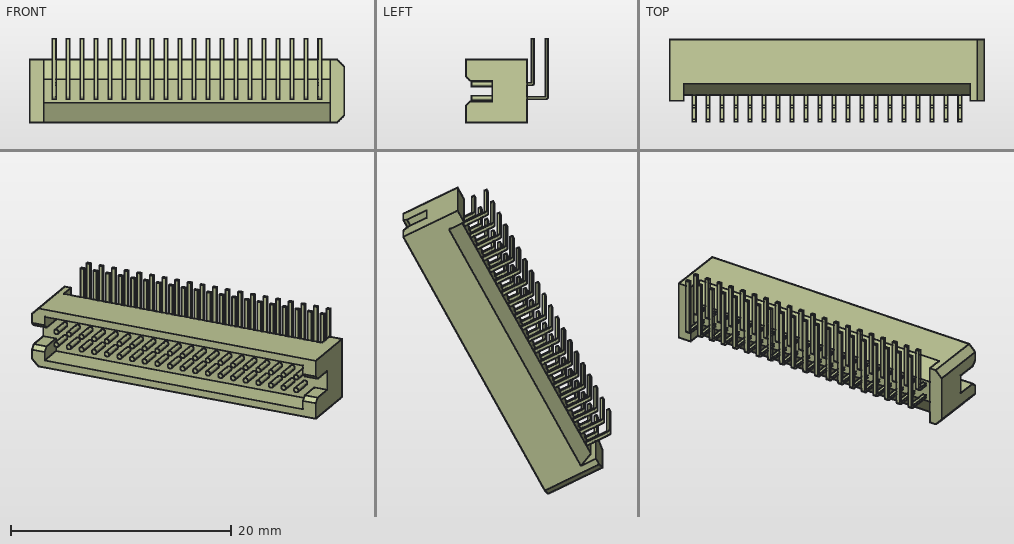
import cadquery as cq
import math


LENGTH = 28.57
DEPTH = 5.57
HEIGHT = 5.75
MID_Z = HEIGHT / 2
CAP_WIDTH = 1.29
INNER_LENGTH = LENGTH - 2 * CAP_WIDTH

END_CHAMFER = 0.65

SLOT_HEIGHT = 1.85
SLOT_DEPTH = 2.4
SLOT_LEAD_IN = 0.4
CAVITY_WALL = 0.7

BAND_HEIGHT = 2.1
BAND_DEPTH = 5.05
SLOPE_START_DEPTH = 4.03

CONTACTS_PER_ROW = 20
ROW_SPAN = 24.15
PITCH = ROW_SPAN / (CONTACTS_PER_ROW - 1)
ROW_OFFSET = PITCH / 2
PIN_DIAMETER = 0.45
PIN_TIP_DEPTH = 0.5
TAIL_WIDTH = 0.35
TAIL_THICKNESS = 0.25
TAIL_TOP = 7.63
OUTER_TAIL_BACK = 7.49
INNER_TAIL_BACK = OUTER_TAIL_BACK - PITCH

BAR_FRONT_DEPTH = 3.15
BAR_BACK_DEPTH = 4.29
BAR_LENGTH = ROW_SPAN + PIN_DIAMETER
BAR_HEIGHT = PITCH + PIN_DIAMETER


def block(length, front_depth, back_depth, bottom, top):
    """Box centred on X between two depths behind the mating face."""
    return cq.Workplane("XY").box(
        length, back_depth - front_depth, top - bottom
    ).translate((0, -(front_depth + back_depth) / 2, (bottom + top) / 2))


def extrude_along_x(points, length):
    """Extrude a (Y, Z) outline to both sides of the X = 0 plane."""
    outline = cq.Workplane("YZ").polyline(points).close()
    return outline.extrude(length / 2, both=True)


def housing_envelope():
    """Outer block with the two +X end edges chamfered."""
    right = LENGTH / 2
    outline = [
        (-right, 0),
        (right - END_CHAMFER, 0),
        (right, END_CHAMFER),
        (right, HEIGHT - END_CHAMFER),
        (right - END_CHAMFER, HEIGHT),
        (-right, HEIGHT),
    ]
    return cq.Workplane("XZ").polyline(outline).close().extrude(DEPTH)


def end_slot():
    """Slot along the whole length, flared at the mating face."""
    half = SLOT_HEIGHT / 2
    mouth_half = half + SLOT_LEAD_IN
    return extrude_along_x(
        [
            (0, MID_Z + mouth_half),
            (-SLOT_LEAD_IN, MID_Z + half),
            (-SLOT_DEPTH, MID_Z + half),
            (-SLOT_DEPTH, MID_Z - half),
            (-SLOT_LEAD_IN, MID_Z - half),
            (0, MID_Z - mouth_half),
        ],
        LENGTH,
    )


def rear_recess():
    """Space behind the band and its slopes, between the end caps."""
    half = BAND_HEIGHT / 2
    return extrude_along_x(
        [
            (-DEPTH, 0),
            (-SLOPE_START_DEPTH, 0),
            (-BAND_DEPTH, MID_Z - half),
            (-BAND_DEPTH, MID_Z + half),
            (-SLOPE_START_DEPTH, HEIGHT),
            (-DEPTH, HEIGHT),
        ],
        INNER_LENGTH,
    )


def contact(center_x, row_z, tail_back):
    """Round mating pin and its upturned flat tail, both starting in the bar."""
    pin = (
        cq.Workplane("XZ", origin=(center_x, -PIN_TIP_DEPTH, row_z))
        .circle(PIN_DIAMETER / 2)
        .extrude(BAR_FRONT_DEPTH - PIN_TIP_DEPTH)
    )
    bottom = row_z - TAIL_THICKNESS / 2
    tail_front = TAIL_THICKNESS - tail_back
    bend_top = bottom + TAIL_THICKNESS
    bend_arc = TAIL_THICKNESS * math.sqrt(0.5)
    tail = (
        cq.Workplane("YZ", origin=(center_x, 0, 0))
        .moveTo(-BAR_BACK_DEPTH, bottom)
        .lineTo(tail_front, bottom)
        .threePointArc((tail_front - bend_arc, bend_top - bend_arc), (-tail_back, bend_top))
        .lineTo(-tail_back, TAIL_TOP)
        .lineTo(tail_front, TAIL_TOP)
        .lineTo(tail_front, bend_top)
        .lineTo(-BAR_BACK_DEPTH, bend_top)
        .close()
        .extrude(TAIL_WIDTH / 2, both=True)
    )
    return [pin.val(), tail.val()]


def build_contact_set():
    """Both rows of contacts on their common bar, as one solid."""
    half = BAR_HEIGHT / 2
    bar = block(BAR_LENGTH, BAR_FRONT_DEPTH, BAR_BACK_DEPTH, MID_Z - half, MID_Z + half)
    rows = [
        (MID_Z + ROW_OFFSET, INNER_TAIL_BACK),
        (MID_Z - ROW_OFFSET, OUTER_TAIL_BACK),
    ]
    pieces = []
    for index in range(CONTACTS_PER_ROW):
        center_x = index * PITCH - ROW_SPAN / 2
        for row_z, tail_back in rows:
            pieces.extend(contact(center_x, row_z, tail_back))
    return cq.Workplane(bar.val().fuse(*pieces))


def build_housing(contact_set):
    """Housing with its openings and a matching seat for the contact set."""
    cavity = block(INNER_LENGTH, 0, SLOT_DEPTH, CAVITY_WALL, HEIGHT - CAVITY_WALL)
    return (
        housing_envelope()
        .cut(end_slot())
        .cut(cavity)
        .cut(rear_recess())
        .cut(contact_set)
    )


contacts = build_contact_set()
housing = build_housing(contacts)
result = cq.Compound.makeCompound([housing.val(), contacts.val()])